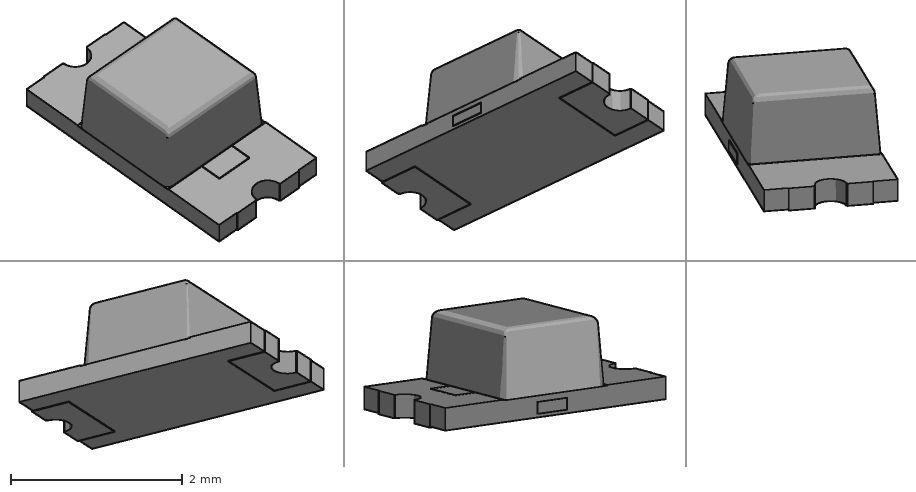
import cadquery as cq

PLATE_GAUGE = 0.01
LENGTH = 3.22
CORE_WIDTH = 1.6
CORE_THICKNESS = 0.26
TOTAL_HEIGHT = 1.1

TOP_PLATING_GAP = 1.505
BOTTOM_PAD_LENGTH = 0.51
PAD_WIDTH = 1.01
NOTCH_RADIUS = 0.187

MARK_LENGTH = 0.293
MARK_WIDTH = 0.493

SIDE_PAD_LENGTH = 0.425
SIDE_PAD_HEIGHT = 0.142
SIDE_PAD_X = 0.055
SIDE_PAD_BOTTOM = 0.045

LENS_LENGTH = 1.495
DRAFT_ANGLE = 5.0
CORNER_RADIUS = 0.1
TOP_FILLET = 0.1

CORE_LENGTH = LENGTH - 2 * PLATE_GAUGE
CORE_BOTTOM = PLATE_GAUGE
CORE_TOP = CORE_BOTTOM + CORE_THICKNESS
PLATING_TOP = CORE_TOP + PLATE_GAUGE
LENS_HEIGHT = TOTAL_HEIGHT - CORE_TOP


def make_core():
    """Board core: a plain slab."""
    return cq.Workplane("XY").workplane(offset=CORE_BOTTOM).box(
        CORE_LENGTH, CORE_WIDTH, CORE_THICKNESS, centered=(True, True, False)
    )


def plate(x_inner, x_outer, width, bottom, thickness):
    """Rectangular plate centred on Y, reaching along X from x_inner to x_outer."""
    return cq.Workplane("XY").box(
        x_outer - x_inner, width, thickness, centered=(False, True, False)
    ).translate((x_inner, 0, bottom))


def make_end_plating():
    """Plating that wraps the +X end of the core: top sheet, end wall and bottom pad."""
    core_end = CORE_LENGTH / 2
    length_end = LENGTH / 2
    top_sheet = plate(TOP_PLATING_GAP / 2, core_end, CORE_WIDTH, CORE_TOP, PLATE_GAUGE)
    end_wall = plate(core_end, length_end, PAD_WIDTH, 0, PLATING_TOP)
    bottom_pad = plate(length_end - BOTTOM_PAD_LENGTH, length_end, PAD_WIDTH, 0, PLATE_GAUGE)
    return top_sheet.union(end_wall).union(bottom_pad)


def make_end_notch():
    """Cutter for the +X end: a half-round notch, opened one gauge wider through the end wall."""
    core_end = CORE_LENGTH / 2
    round_part = cq.Workplane("XY").center(core_end, 0).circle(NOTCH_RADIUS).extrude(PLATING_TOP)
    mouth = plate(core_end, LENGTH / 2, 2 * (NOTCH_RADIUS + PLATE_GAUGE), 0, PLATING_TOP)
    return round_part.union(mouth)


def make_side_pad():
    """Thin raised pad on the +Y side of the board."""
    return cq.Workplane("XY").box(
        SIDE_PAD_LENGTH, PLATE_GAUGE, SIDE_PAD_HEIGHT, centered=(True, False, False)
    ).translate((SIDE_PAD_X, CORE_WIDTH / 2, CORE_BOTTOM + SIDE_PAD_BOTTOM))


def make_mark():
    """Polarity mark: a thin tile that fills a window in the +X top plating, flush with its top."""
    mark_start = TOP_PLATING_GAP / 2
    return plate(mark_start, mark_start + MARK_LENGTH, MARK_WIDTH, CORE_TOP, PLATE_GAUGE)


def make_board(mark):
    """Plated board with both end notches, the side pad and the window for the mark."""
    board = make_core().union(make_side_pad())
    for turn in (0, 180):
        board = board.union(make_end_plating().rotate((0, 0, 0), (0, 0, 1), turn))
        board = board.cut(make_end_notch().rotate((0, 0, 0), (0, 0, 1), turn))
    return board.cut(mark)


def make_lens():
    """Drafted lens block on the core, with rounded upright corners and top edges."""
    foot = (
        cq.Sketch()
        .rect(LENS_LENGTH, CORE_WIDTH)
        .vertices()
        .fillet(CORNER_RADIUS)
    )
    block = (
        cq.Workplane("XY")
        .workplane(offset=CORE_TOP)
        .placeSketch(foot)
        .extrude(LENS_HEIGHT, taper=DRAFT_ANGLE)
    )
    return block.faces(">Z").edges().fillet(TOP_FILLET)


mark = make_mark()
board = make_board(mark)
lens = make_lens()

result = cq.Compound.makeCompound([board.val(), lens.val(), mark.val()])